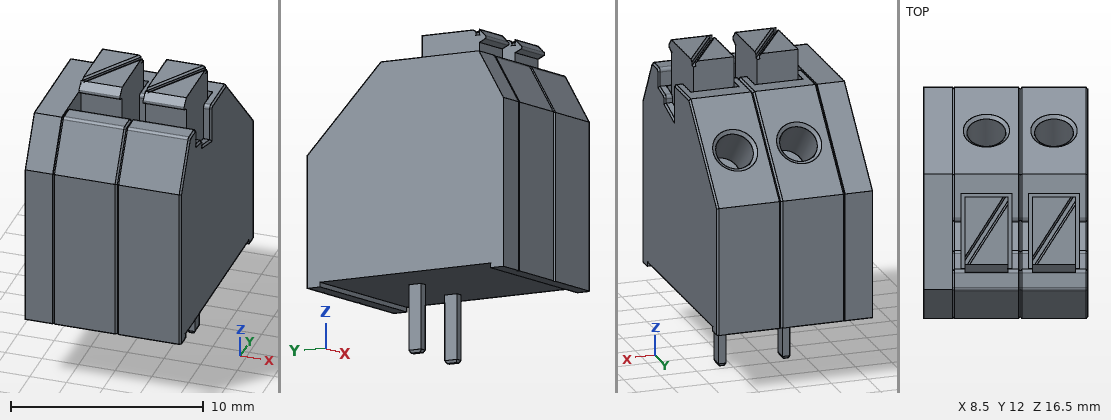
import cadquery as cq
import math


HOUSING_HEIGHT = 11.5
HOUSING_DEPTH = 12.0
PLATE_WIDTH = 1.5
POLE_PITCH = 3.5
POLE_COUNT = 2
FRONT_SLOPE_RUN = 1.5
FRONT_SLOPE_DROP = 2.6
BACK_SLOPE = 4.5
FOOT_LENGTH = 0.79
FOOT_HEIGHT = 0.25
EDGE_CHAMFER = 0.1
EDGE_RADIUS = 0.2

TROUGH_FRONT = 2.57
TROUGH_STEP = 3.54
TROUGH_BACK = 5.02
TROUGH_FRONT_WALL = 0.99
TROUGH_STEP_HEIGHT = 0.4
FRONT_FLOOR_TILT = 11.6
BACK_FLOOR_TILT = 15.5

BUTTON_WIDTH = 2.24
BUTTON_RISE = 1.6
BUTTON_FRONT = 2.8
BUTTON_BACK = 6.3
POCKET_CLEARANCE = 0.2
POCKET_DEPTH = 2.47
NOSE_REACH = 0.48
NOSE_HEIGHT = 0.69
NOSE_RADIUS = 0.1
SLOT_WIDTH = 0.21
SLOT_DEPTH = 0.3
SLOT_CHAMFER = 0.1

HOLE_DIAMETER = 2.0
HOLE_DEPTH = 2.96
MOUTH_DIAMETER = 2.4
MOUTH_DEPTH = 0.15

PIN_LENGTH = 3.35
PIN_WIDTH = 0.41
PIN_THICKNESS = 0.74
PIN_Y = 7.3
PIN_TIP_INSET = 0.08
PIN_TIP_HEIGHT = 0.15

BUTTON_TOP = HOUSING_HEIGHT + BUTTON_RISE
BUTTON_DEPTH = BUTTON_BACK - BUTTON_FRONT
BUTTON_Y = (BUTTON_FRONT + BUTTON_BACK) / 2
POCKET_FLOOR = HOUSING_HEIGHT - POCKET_DEPTH
BACK_RIDGE_Y = HOUSING_DEPTH - BACK_SLOPE


def side_profile(x, points):
    """Sketch a closed outline of (y, z) points on the plane at x."""
    return cq.Workplane("YZ", origin=(x, 0, 0)).polyline(points).close()


def housing_slab(x, width):
    """Plain housing slice with sloped shoulders and a foot at each end."""
    outline = [
        (0, 0),
        (FOOT_LENGTH, 0),
        (FOOT_LENGTH, FOOT_HEIGHT),
        (HOUSING_DEPTH - FOOT_LENGTH, FOOT_HEIGHT),
        (HOUSING_DEPTH - FOOT_LENGTH, 0),
        (HOUSING_DEPTH, 0),
        (HOUSING_DEPTH, HOUSING_HEIGHT - BACK_SLOPE),
        (BACK_RIDGE_Y, HOUSING_HEIGHT),
        (FRONT_SLOPE_RUN, HOUSING_HEIGHT),
        (0, HOUSING_HEIGHT - FRONT_SLOPE_DROP),
    ]
    return side_profile(x, outline).extrude(width)


def trough(x, width):
    """Trough cutter with two tilted floors, and the (y, z) ridges it leaves to be rounded."""
    front_floor_drop = (TROUGH_STEP - TROUGH_FRONT) * math.tan(math.radians(FRONT_FLOOR_TILT))
    back_floor_drop = (TROUGH_BACK - TROUGH_STEP) * math.tan(math.radians(BACK_FLOOR_TILT))
    front_floor_z = HOUSING_HEIGHT - TROUGH_FRONT_WALL
    step_top_z = front_floor_z - front_floor_drop
    step_foot_z = step_top_z - TROUGH_STEP_HEIGHT
    outline = [
        (TROUGH_FRONT, HOUSING_HEIGHT),
        (TROUGH_FRONT, front_floor_z),
        (TROUGH_STEP, step_top_z),
        (TROUGH_STEP, step_foot_z),
        (TROUGH_BACK, step_foot_z - back_floor_drop),
        (TROUGH_BACK, HOUSING_HEIGHT),
    ]
    ridges = [
        (FRONT_SLOPE_RUN, HOUSING_HEIGHT),
        (TROUGH_FRONT, HOUSING_HEIGHT),
        (TROUGH_STEP, step_top_z),
        (TROUGH_BACK, HOUSING_HEIGHT),
    ]
    return side_profile(x, outline).extrude(width), ridges


def ridge_edges(x, width, ridges):
    """Selector for the edges along X that pass through the given (y, z) points."""
    selector = None
    for y, z in ridges:
        point = cq.selectors.NearestToPointSelector((x + width / 2, y, z))
        selector = point if selector is None else selector + point
    return selector


def module_body(x):
    """Housing slice of one pole with its trough and broken edges."""
    cutter, ridges = trough(x, POLE_PITCH)
    body = housing_slab(x, POLE_PITCH).cut(cutter)
    body = body.edges(ridge_edges(x, POLE_PITCH, ridges)).fillet(EDGE_RADIUS)
    above_feet = cq.selectors.BoxSelector(
        (x - FOOT_HEIGHT, -FOOT_HEIGHT, 2 * FOOT_HEIGHT),
        (x + POLE_PITCH + FOOT_HEIGHT, HOUSING_DEPTH + FOOT_HEIGHT, HOUSING_HEIGHT + FOOT_HEIGHT),
    )
    side_outline = body.faces("<X or >X").edges(above_feet)
    return side_outline.chamfer(EDGE_CHAMFER)


def button_pocket(x):
    """Clearance pocket around a button."""
    return (
        cq.Workplane("XY", origin=(x, BUTTON_Y, POCKET_FLOOR))
        .rect(BUTTON_WIDTH + 2 * POCKET_CLEARANCE, BUTTON_DEPTH + 2 * POCKET_CLEARANCE)
        .extrude(POCKET_DEPTH)
    )


def wire_hole(x):
    """Wire entry with a conical mouth, centred on the back slope."""
    mouth = cq.Plane(
        origin=(x, HOUSING_DEPTH - BACK_SLOPE / 2, HOUSING_HEIGHT - BACK_SLOPE / 2),
        xDir=(1, 0, 0),
        normal=(0, -1, -1),
    )
    hole_radius = HOLE_DIAMETER / 2
    bore = cq.Workplane(mouth).circle(hole_radius).extrude(HOLE_DEPTH)
    cone = (
        cq.Workplane(mouth)
        .circle(MOUTH_DIAMETER / 2)
        .workplane(offset=MOUTH_DEPTH)
        .circle(hole_radius)
        .loft()
    )
    return bore.union(cone)


def screwdriver_slot(x):
    """Slot with chamfered rims along the diagonal of a button's top."""
    diagonal = math.hypot(BUTTON_WIDTH, BUTTON_DEPTH)
    inner = SLOT_WIDTH / 2
    rim = inner + SLOT_CHAMFER
    section = [
        (-inner, -SLOT_DEPTH),
        (inner, -SLOT_DEPTH),
        (inner, -SLOT_CHAMFER),
        (rim, 0),
        (-rim, 0),
        (-inner, -SLOT_CHAMFER),
    ]
    across_slot = cq.Plane(
        origin=(x, BUTTON_Y, BUTTON_TOP),
        xDir=(-BUTTON_DEPTH, BUTTON_WIDTH, 0),
        normal=(BUTTON_WIDTH, BUTTON_DEPTH, 0),
    )
    return cq.Workplane(across_slot).polyline(section).close().extrude(diagonal, both=True)


def button(x):
    """Slotted push button standing on the pocket floor, with a nose on its front."""
    body = (
        cq.Workplane("XY", origin=(x, BUTTON_Y, POCKET_FLOOR))
        .rect(BUTTON_WIDTH, BUTTON_DEPTH)
        .extrude(BUTTON_TOP - POCKET_FLOOR)
        .cut(screwdriver_slot(x))
    )
    tip = (BUTTON_FRONT - NOSE_REACH, BUTTON_TOP - NOSE_REACH)
    nose_outline = [
        (BUTTON_FRONT, BUTTON_TOP),
        tip,
        (BUTTON_FRONT, BUTTON_TOP - NOSE_HEIGHT),
    ]
    nose = side_profile(x - BUTTON_WIDTH / 2, nose_outline).extrude(BUTTON_WIDTH)
    nose = nose.edges("|X and <Y").fillet(NOSE_RADIUS)
    return body.union(nose)


def solder_pin(x):
    """Flat pin below the housing with a tapered tip."""
    shank_end = PIN_TIP_HEIGHT - PIN_LENGTH
    shank = (
        cq.Workplane("XY", origin=(x, PIN_Y, shank_end))
        .rect(PIN_WIDTH, PIN_THICKNESS)
        .extrude(FOOT_HEIGHT - shank_end)
    )
    tip = (
        cq.Workplane("XY", origin=(x, PIN_Y, shank_end))
        .rect(PIN_WIDTH, PIN_THICKNESS)
        .workplane(offset=-PIN_TIP_HEIGHT)
        .rect(PIN_WIDTH - 2 * PIN_TIP_INSET, PIN_THICKNESS - 2 * PIN_TIP_INSET)
        .loft()
    )
    return shank.union(tip)


result = housing_slab(0, PLATE_WIDTH)
for pole in range(POLE_COUNT):
    pole_start = PLATE_WIDTH + pole * POLE_PITCH
    pole_centre = pole_start + POLE_PITCH / 2
    module = module_body(pole_start).cut(button_pocket(pole_centre)).cut(wire_hole(pole_centre))
    module = module.union(button(pole_centre)).union(solder_pin(pole_centre))
    result = result.union(module)